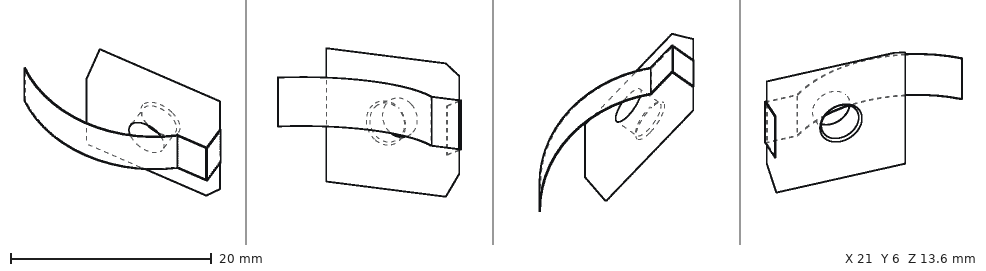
import cadquery as cq
import math

total_length = 21.0
total_depth = 6.0

strip_thickness = 0.1
strip_width = 5.0
pad_length = 3.38
crown_from_tip = 8.88
bow_depth = 3.1
leg_end_gap = 0.1

block_length = 13.8
back_height = 13.82
face_height = 10.04
edge_round = 0.1
hole_diameter = 4.0
hole_chamfer = 0.25

block_right = total_length - strip_thickness
block_left = block_right - block_length
block_front = bow_depth + strip_thickness
block_depth = total_depth - block_front
block_middle = (block_left + block_right) / 2


def make_block():
    """Dovetail block, wider at the back, with softened edges and a through hole chamfered at the back."""
    block = (
        cq.Workplane("YZ", origin=(block_left, 0, 0))
        .moveTo(block_front, -face_height / 2)
        .lineTo(total_depth, -back_height / 2)
        .lineTo(total_depth, back_height / 2)
        .lineTo(block_front, face_height / 2)
        .close()
        .extrude(block_length)
        .edges()
        .fillet(edge_round)
    )
    hole = (
        cq.Workplane("XZ", origin=(block_middle, block_front, 0))
        .circle(hole_diameter / 2)
        .extrude(-block_depth)
    )
    hole_flare = (
        cq.Workplane("XZ", origin=(block_middle, total_depth, 0))
        .circle(hole_diameter / 2 + hole_chamfer)
        .extrude(hole_chamfer, taper=45)
    )
    return block.cut(hole).cut(hole_flare)


def make_spring():
    """Bent strip of constant thickness; the bow is a circular arc cut square at its tip."""
    pad_start = total_length - pad_length
    half_chord = pad_start - crown_from_tip
    outer_radius = (half_chord**2 + bow_depth**2) / (2 * bow_depth)
    inner_radius = outer_radius - strip_thickness
    tip_angle = math.asin(crown_from_tip / outer_radius)
    tip_outer_y = outer_radius * (1 - math.cos(tip_angle))
    tip_inner_x = strip_thickness * math.sin(tip_angle)
    tip_inner_y = tip_outer_y + strip_thickness * math.cos(tip_angle)
    inner_end_x = crown_from_tip + math.sqrt(inner_radius**2 - (outer_radius - block_front) ** 2)
    leg_end = total_depth - leg_end_gap
    return (
        cq.Workplane("XY", origin=(0, 0, -strip_width / 2))
        .moveTo(0, tip_outer_y)
        .threePointArc((crown_from_tip, 0), (pad_start, bow_depth))
        .lineTo(total_length, bow_depth)
        .lineTo(total_length, leg_end)
        .lineTo(block_right, leg_end)
        .lineTo(block_right, block_front)
        .lineTo(inner_end_x, block_front)
        .threePointArc((crown_from_tip, strip_thickness), (tip_inner_x, tip_inner_y))
        .close()
        .extrude(strip_width)
    )


result = make_block().union(make_spring())